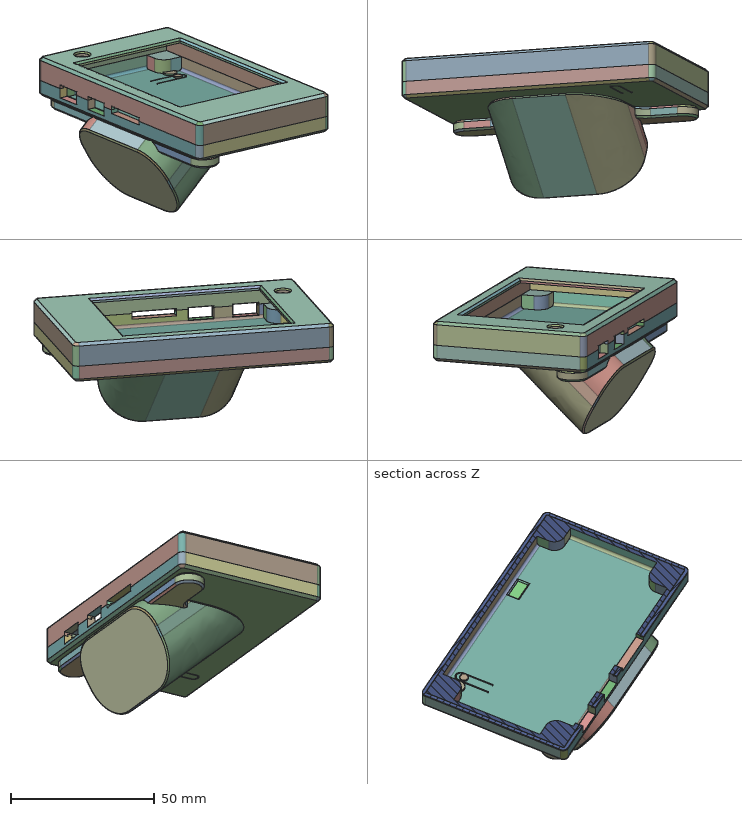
import cadquery as cq
import math

bevel_angle = 45
arc_mid_inset = 1 - math.sqrt(0.5)

case_length = 94.1
case_width = 57.1
case_height = 14.1
parting_height = 5.7
corner_radius = 2.0
rim_chamfer = 1.0
wall = 3.0
skin = 1.5
floor_fillet = 1.0
inner_length = case_length - 2 * wall
inner_width = case_width - 2 * wall

lip_rise = 0.75
lip_thickness = wall / 2
lip_top = parting_height + lip_rise

window_length = 62.2
window_width = 46.7
window_x = -2.7
window_y = 0.6
window_bevel = 0.75
button_x = -39.5
button_y = -14.6
button_diameter = 5.0
button_top_diameter = 6.0
button_countersink = (button_top_diameter - button_diameter) / 2

opening_top = 7.1
plug_width = 9.3
plug_bottom = 2.35
card_width = 16.0
card_bottom = 4.4
openings = [
    (-29.1, plug_width, plug_bottom),
    (-13.0, plug_width, plug_bottom),
    (3.95, card_width, card_bottom),
]

post_size = 8.7
post_radius = 4.0
standoff_x = -34.8
standoff_y = 20.1
standoff_diameter = 5.0
standoff_height = 0.6

tongue_x = -30.2
tongue_width = 3.2
tongue_root_y = 9.7
tongue_tip_y = 21.5
slit_width = 0.4
pin_y = standoff_y
pin_diameter = 3.0
pin_height = 0.6

recess_length = 8.2
recess_x = 14.4
recess_front_y = 19.7
recess_depth = 0.5
recess_width = inner_width / 2 - floor_fillet - recess_front_y

bar_inset = 1.9
bar_length = case_length - 2 * bar_inset
bar_width = 11.0
bar_height = 4.0
bar_front_y = bar_inset - case_width / 2
bar_chamfer = 0.75
foot_width = 49.9
foot_height = 30.3
foot_upper_radius = 10.9
foot_lower_radius = 15.1
foot_chamfer = 0.6
foot_top_y = -31.1
foot_top_z = -4.1
foot_tilt = 30.0
leg_slope = 42.3
web_radius = 5.6
web_sink = 0.8
stand_top_chamfer = 0.8


def case_block():
    """Outer shape of the closed case."""
    block = cq.Workplane("XY").box(case_length, case_width, case_height, centered=(True, True, False))
    block = block.edges("|Z").fillet(corner_radius)
    return block.faces("<Z or >Z").edges().chamfer(rim_chamfer)


def slab(length, width, bottom, top):
    """Centred box between two heights."""
    base = cq.Workplane("XY").workplane(offset=bottom)
    return base.rect(length, width).extrude(top - bottom)


def lip_envelope():
    """Solid block that fills the outline of the lip, from the parting plane to the lip top."""
    length = inner_length + 2 * lip_thickness
    width = inner_width + 2 * lip_thickness
    return slab(length, width, parting_height, lip_top)


def front_openings():
    """Cutters for the connector openings in the front wall."""
    cutters = cq.Workplane("XY")
    for centre_x, width, bottom in openings:
        cutter = cq.Workplane("XY").box(width, wall, opening_top - bottom, centered=(True, False, False))
        cutters = cutters.add(cutter.translate((centre_x, -case_width / 2, bottom)))
    return cutters.combine()


def make_lid():
    """Upper shell with the window, the button hole and its share of the openings."""
    lid = case_block().intersect(slab(case_length, case_width, parting_height, case_height))
    lid = lid.cut(slab(inner_length, inner_width, parting_height, case_height - skin))
    lid = lid.cut(lip_envelope())

    opening = (
        cq.Workplane("XY")
        .workplane(offset=case_height)
        .center(window_x, window_y)
        .rect(window_length - 2 * window_bevel, window_width - 2 * window_bevel)
        .extrude(-skin)
    )
    bevel = (
        cq.Workplane("XY")
        .workplane(offset=case_height)
        .center(window_x, window_y)
        .rect(window_length, window_width)
        .extrude(-window_bevel, taper=bevel_angle)
    )
    lid = lid.cut(opening).cut(bevel)

    hole = (
        cq.Workplane("XY")
        .workplane(offset=case_height)
        .center(button_x, button_y)
        .circle(button_diameter / 2)
        .extrude(-skin)
    )
    countersink = (
        cq.Workplane("XY")
        .workplane(offset=case_height)
        .center(button_x, button_y)
        .circle(button_top_diameter / 2)
        .extrude(-button_countersink, taper=bevel_angle)
    )
    lid = lid.cut(hole).cut(countersink)
    return lid.cut(front_openings())


def corner_post(side_x, side_y):
    """Post that fills one inner corner of the tray and is rounded towards the middle."""
    centre_x = side_x * (inner_length - post_size) / 2
    centre_y = side_y * (inner_width - post_size) / 2
    post = cq.Workplane("XY").box(post_size, post_size, lip_top, centered=(True, True, False))
    rounded_edge = ("<X" if side_x > 0 else ">X") + " and " + ("<Y" if side_y > 0 else ">Y")
    post = post.edges("|Z").edges(rounded_edge).fillet(post_radius)
    return post.translate((centre_x, centre_y, 0)).intersect(slab(case_length, case_width, skin, lip_top))


def tongue_outline(margin):
    """Tongue with a round tip, widened all round by a margin, through the full floor."""
    half = tongue_width / 2 + margin
    return (
        cq.Workplane("XY")
        .moveTo(tongue_x - half, tongue_root_y)
        .lineTo(tongue_x + half, tongue_root_y)
        .lineTo(tongue_x + half, tongue_tip_y)
        .threePointArc((tongue_x, tongue_tip_y + half), (tongue_x - half, tongue_tip_y))
        .close()
        .extrude(skin)
    )


def floor_recess():
    """Cutter for the recess with sloping sides."""
    return (
        cq.Workplane("XY")
        .workplane(offset=skin)
        .center(recess_x, recess_front_y + recess_width / 2)
        .rect(recess_length, recess_width)
        .extrude(-recess_depth, taper=bevel_angle)
    )


def make_tray():
    """Lower shell with the lip, posts, standoff, tongue, recess and its share of the openings."""
    tray = case_block().intersect(slab(case_length, case_width, 0, parting_height))
    tray = tray.union(lip_envelope())
    cavity = slab(inner_length, inner_width, skin, lip_top).faces("<Z").edges().fillet(floor_fillet)
    tray = tray.cut(cavity)

    for side_x in (-1, 1):
        for side_y in (-1, 1):
            tray = tray.union(corner_post(side_x, side_y))
    standoff = (
        cq.Workplane("XY")
        .workplane(offset=skin)
        .center(standoff_x, standoff_y)
        .circle(standoff_diameter / 2)
        .extrude(standoff_height)
    )
    tray = tray.union(standoff)

    slit = tongue_outline(slit_width).cut(tongue_outline(0))
    pin = (
        cq.Workplane("XY")
        .workplane(offset=skin)
        .center(tongue_x, pin_y)
        .circle(pin_diameter / 2)
        .extrude(pin_height)
    )
    tray = tray.cut(slit).union(pin)
    return tray.cut(floor_recess()).cut(front_openings())


def stand_bar():
    """Round-ended bar with a web at the back that flares into the sides of the leg."""
    bar_centre_y = bar_front_y + bar_width / 2
    bar_back_y = bar_front_y + bar_width
    bar = (
        cq.Workplane("XY")
        .center(0, bar_centre_y)
        .slot2D(bar_length, bar_width)
        .extrude(-bar_height)
    )
    half = foot_width / 2 - web_sink
    web_back_y = bar_back_y + web_radius
    bend = web_radius * arc_mid_inset
    web = (
        cq.Workplane("XY")
        .moveTo(-half - web_radius, bar_centre_y)
        .lineTo(half + web_radius, bar_centre_y)
        .lineTo(half + web_radius, bar_back_y)
        .threePointArc((half + bend, bar_back_y + bend), (half, web_back_y))
        .lineTo(-half, web_back_y)
        .threePointArc((-half - bend, bar_back_y + bend), (-half - web_radius, bar_back_y))
        .close()
        .extrude(-bar_height)
    )
    bar = bar.union(web)
    bar = bar.faces("<Z").edges().chamfer(bar_chamfer)
    return bar.faces(">Z").edges().chamfer(stand_top_chamfer)


def stand_leg():
    """Oblique leg: the outline of the foot swept up along the slope to the underside of the case."""
    tilt = math.radians(foot_tilt)
    slope = math.radians(leg_slope)
    face_normal = cq.Vector(0, -math.cos(tilt), -math.sin(tilt))
    foot_plane = cq.Plane(origin=(0, foot_top_y, foot_top_z), xDir=(1, 0, 0), normal=face_normal.toTuple())
    side = foot_width / 2
    upper_end = side - foot_upper_radius
    lower_end = side - foot_lower_radius
    lower_start = foot_lower_radius - foot_height
    upper_mid = foot_upper_radius * arc_mid_inset
    lower_mid = foot_lower_radius * arc_mid_inset
    outline = (
        cq.Workplane(foot_plane)
        .moveTo(-upper_end, 0)
        .lineTo(upper_end, 0)
        .threePointArc((side - upper_mid, -upper_mid), (side, -foot_upper_radius))
        .lineTo(side, lower_start)
        .threePointArc((side - lower_mid, lower_mid - foot_height), (lower_end, -foot_height))
        .lineTo(-lower_end, -foot_height)
        .threePointArc((lower_mid - side, lower_mid - foot_height), (-side, lower_start))
        .lineTo(-side, -foot_upper_radius)
        .threePointArc((upper_mid - side, -upper_mid), (-upper_end, 0))
        .close()
    )
    leg_length = 2 * foot_height
    sweep = cq.Vector(0, math.cos(slope), math.sin(slope)) * leg_length
    leg = cq.Workplane(cq.Solid.extrudeLinear(outline.val(), [], sweep))
    leg = leg.faces("<Y").edges().chamfer(foot_chamfer)
    leg = leg.intersect(slab(case_length, 2 * case_length, -case_length, 0))
    return leg.faces(">Z").edges().chamfer(stand_top_chamfer)


lid = make_lid()
tray = make_tray()
stand = stand_bar().union(stand_leg())

result = cq.Compound.makeCompound([lid.val(), tray.val(), stand.val()])